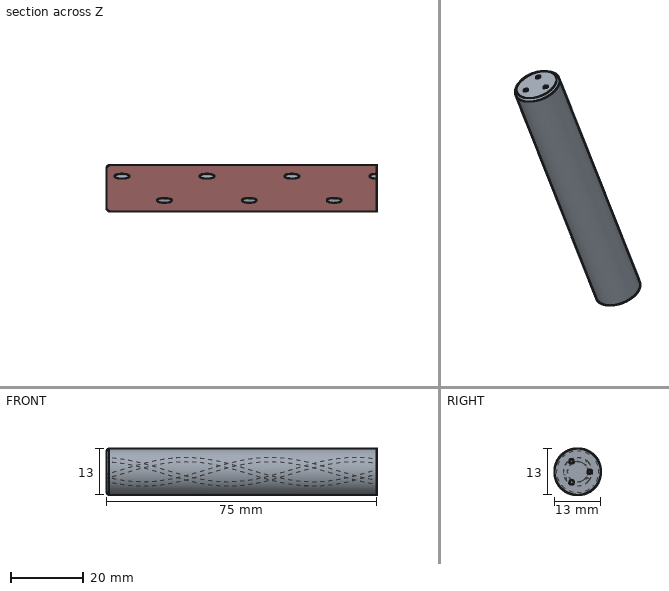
import cadquery as cq
import math

length = 75.0
diameter = 13.0
chamfer_size = 0.7

channel_count = 3
channel_diameter = 1.2
channel_ring_radius = 3.4
first_channel_angle = 98.0
helix_angle = 30.0

helix_pitch = math.pi * diameter / math.tan(math.radians(helix_angle))
channel_twist = 360.0 * length / helix_pitch


def rod():
    """Cylinder centred on the origin, chamfered at the -X end only."""
    body = cq.Workplane("YZ").circle(diameter / 2).extrude(length)
    body = body.faces("<X").chamfer(chamfer_size)
    return body.translate((-length / 2, 0, 0))


def channel(angle):
    """Right-hand helical channel running the full length of the rod."""
    y = channel_ring_radius * math.cos(math.radians(angle))
    z = channel_ring_radius * math.sin(math.radians(angle))
    return (
        cq.Workplane("YZ", origin=(-length / 2, 0, 0))
        .center(y, z)
        .circle(channel_diameter / 2)
        .center(-y, -z)
        .twistExtrude(length, channel_twist)
    )


result = rod()
for index in range(channel_count):
    result = result.cut(channel(first_channel_angle + index * 360.0 / channel_count))